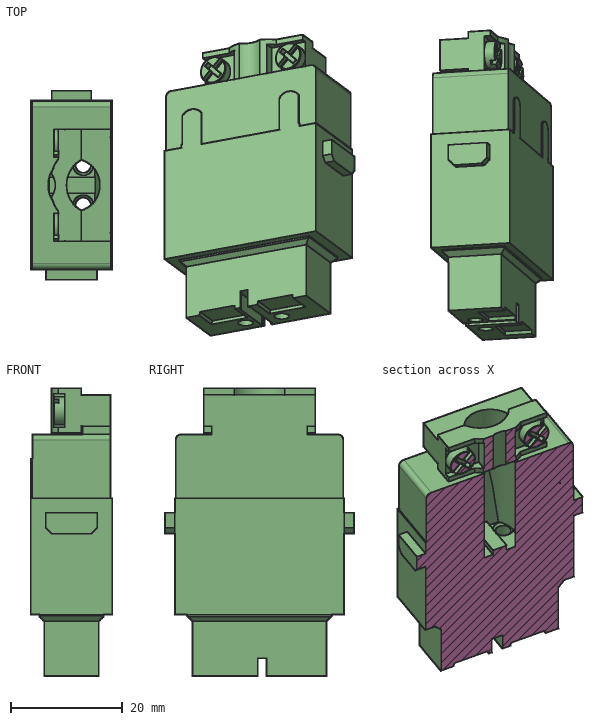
import cadquery as cq

shell_x, shell_y = 14.6, 30.3
shell_bottom, shell_top = 11.0, 31.85
cap_x, cap_y = 14.0, 30.0
cap_top = 43.25
cap_edge_radius = 1.0

plug_x, plug_y = 9.8, 24.0
collar_flare_x, collar_flare_y = 0.85, 1.0
collar_height = 1.2

key_slot_y, key_slot_width, key_slot_height = 0.48, 1.5, 3.2
plug_wall, key_slot_widening = 0.45, 0.3
recess_y, recess_width, recess_height = 5.8, 6.8, 0.65
recess_slope = 0.2

tongue_y, tongue_width = 9.72, 3.8
tongue_top, tongue_rise = 38.9, 1.0
tongue_foot_width, tongue_foot_height = 0.17, 0.6

latch_span = 33.85
latch_bottom, latch_top = 25.5, 29.25
latch_chamfer = 1.0
front_latch_width, rear_latch_width = 9.15, 7.15

entry_x, entry_radius, entry_depth = 0.8, 5.0, 20.0
entry_floor_x, entry_floor_width, entry_draft = 0.15, 8.0, 1.7
floor_rib_width, floor_rib_height = 2.8, 1.0
wire_hole_x, wire_hole_y = 2.1, 3.6
wire_hole_radius, wire_sink_radius = 1.37, 1.83

clamp_top, jaw_height = 51.5, 8.0
clamp_mid = clamp_top - jaw_height / 2
clamp_y = 20.0
jaw_x, split_x, block_x = -2.35, 1.75, cap_x / 2
block_height = 5.6
foot_x, foot_y = 1.96, 17.1
bulge_x, bulge_base_y, bulge_tip_y = -3.6, 4.7, 2.06
bulge_bow = 0.12
groove_x = -2.9
cable_half_width = 4.5
cable_jaw_x, cable_block_x = -0.9, 5.1

pocket_floor_x, pocket_inner_y, pocket_height = -1.23, 3.25, 6.0
screw_y, screw_radius, screw_face_x = 7.5, 2.5, -3.2
screw_edge = 0.12
cross_width, cross_depth, cross_turn = 0.85, 0.95, 45
short_arm_length, short_arm_taper = 3.7, 0.3

OVERLAP = 0.5
SIDES = (-1, 1)


def span(x0, x1, y0, y1, z0, z1):
    """A box given by its limits along X, Y and Z."""
    return cq.Workplane("XY").box(x1 - x0, y1 - y0, z1 - z0, centered=False).translate((x0, y0, z0))


def centred(x_size, y_size, z0, z1):
    """A box centred on the Z axis."""
    return span(-x_size / 2, x_size / 2, -y_size / 2, y_size / 2, z0, z1)


def make_collar():
    """Collar under the shell: flares from the plug at 45 degrees until it meets its straight rim."""
    bottom = shell_bottom - collar_height
    rim = centred(plug_x + 2 * collar_flare_x, plug_y + 2 * collar_flare_y, bottom, shell_bottom)
    flare = (
        cq.Workplane("XY", origin=(0, 0, bottom))
        .rect(plug_x, plug_y)
        .workplane(offset=collar_height)
        .rect(plug_x + 2 * collar_height, plug_y + 2 * collar_height)
        .loft()
    )
    return rim.intersect(flare)


def make_housing():
    """Shell, cap, plug and collar as one body."""
    shell = centred(shell_x, shell_y, shell_bottom, shell_top)
    cap = centred(cap_x, cap_y, shell_top - OVERLAP, cap_top)
    cap = cap.faces(">Z").edges("|X").fillet(cap_edge_radius)
    plug = centred(plug_x, plug_y, 0, shell_bottom + OVERLAP)
    return shell.union(cap).union(plug).union(make_collar())


def make_tongue(side):
    """Round-topped tongue, flush with the shell, with a small step at its outer foot."""
    inner = tongue_y - tongue_width / 2
    outer = tongue_y + tongue_width / 2
    shoulder = tongue_top - tongue_rise
    foot_top = shell_top + tongue_foot_height
    thickness = (shell_x - cap_x) / 2 + OVERLAP
    return (
        cq.Workplane("YZ", origin=(-shell_x / 2, 0, 0))
        .moveTo(side * inner, shell_top - OVERLAP)
        .lineTo(side * inner, shoulder)
        .threePointArc((side * tongue_y, tongue_top), (side * outer, shoulder))
        .lineTo(side * outer, foot_top)
        .lineTo(side * (outer + tongue_foot_width), foot_top)
        .lineTo(side * (outer + tongue_foot_width), shell_top - OVERLAP)
        .close()
        .extrude(thickness)
    )


def make_latch(side, width):
    """Latch key on one Y end, with its lower corners chamfered."""
    length = (latch_span - shell_y) / 2 + OVERLAP
    middle_y = side * (latch_span - length) / 2
    latch = span(-width / 2, width / 2, -length / 2, length / 2, latch_bottom, latch_top)
    return latch.translate((0, middle_y, 0)).faces("<Z").edges("|Y").chamfer(latch_chamfer)


def make_key_slot():
    """Slot right through the plug along X, wider between the two plug walls."""
    core_x = plug_x - 2 * plug_wall
    core_width = key_slot_width + 2 * key_slot_widening
    slot = centred(plug_x, key_slot_width, 0, key_slot_height)
    core = centred(core_x, core_width, 0, key_slot_height)
    return slot.union(core).translate((0, key_slot_y, 0))


def make_contact_recess(side):
    """Shallow recess in the plug end, open to the -X face and reaching the middle of the plug."""
    half = recess_width / 2
    return (
        cq.Workplane("YZ", origin=(-plug_x / 2, side * recess_y, 0))
        .polyline([
            (-half - recess_slope, 0),
            (half + recess_slope, 0),
            (half, recess_height),
            (-half, recess_height),
        ])
        .close()
        .extrude(plug_x / 2)
    )


def make_cable_entry():
    """Round entry whose X sides taper to a narrower floor, with a rib left across the floor."""
    floor_z = cap_top - entry_depth
    half_floor = entry_floor_width / 2
    half_mouth = half_floor + entry_draft
    taper = (
        cq.Workplane("XZ", origin=(entry_floor_x, 0, 0))
        .polyline([
            (-half_floor, floor_z),
            (half_floor, floor_z),
            (half_mouth, cap_top),
            (-half_mouth, cap_top),
        ])
        .close()
        .extrude(entry_radius, both=True)
    )
    bore = cq.Workplane("XY", origin=(entry_x, 0, floor_z)).circle(entry_radius).extrude(entry_depth)
    rib = centred(cap_x, floor_rib_width, floor_z, floor_z + floor_rib_height)
    return bore.intersect(taper).cut(rib)


def make_wire_hole(side):
    """Hole from the floor of the cable entry out through the plug end, countersunk at the floor."""
    floor_z = cap_top - entry_depth
    sink_depth = wire_sink_radius - wire_hole_radius
    return (
        cq.Workplane("XZ", origin=(wire_hole_x, side * wire_hole_y, 0))
        .polyline([
            (0, 0),
            (wire_hole_radius, 0),
            (wire_hole_radius, floor_z - sink_depth),
            (wire_sink_radius, floor_z),
            (0, floor_z),
        ])
        .close()
        .revolve(360, (0, 0, 0), (0, 1, 0))
    )


def make_jaw():
    """Front half of the clamp: a plate with a grooved bulge around the cable."""
    half_y = clamp_y / 2
    flank_x = (jaw_x + bulge_x) / 2 - bulge_bow
    flank_y = (bulge_base_y + bulge_tip_y) / 2 + bulge_bow
    return (
        cq.Workplane("XY", origin=(0, 0, clamp_top - jaw_height))
        .moveTo(split_x, -half_y)
        .lineTo(jaw_x, -half_y)
        .lineTo(jaw_x, -bulge_base_y)
        .threePointArc((flank_x, -flank_y), (bulge_x, -bulge_tip_y))
        .threePointArc((groove_x, 0), (bulge_x, bulge_tip_y))
        .threePointArc((flank_x, flank_y), (jaw_x, bulge_base_y))
        .lineTo(jaw_x, half_y)
        .lineTo(split_x, half_y)
        .close()
        .extrude(jaw_height)
    )


def make_block():
    """Fixed half of the clamp, with the foot that joins it to the cap around the cable entry."""
    bottom = clamp_mid - block_height / 2
    block = span(split_x - OVERLAP, block_x, -clamp_y / 2, clamp_y / 2, bottom, bottom + block_height)
    foot = span(foot_x, block_x, -foot_y / 2, foot_y / 2, cap_top, bottom)
    entry = cq.Workplane("XY", origin=(entry_x, 0, cap_top)).circle(entry_radius).extrude(bottom - cap_top)
    return block.union(foot.cut(entry))


def make_cable_hole():
    """Pointed oval opening: a shallow arc in the jaw meets another in the block."""
    return (
        cq.Workplane("XY", origin=(0, 0, cap_top))
        .moveTo(split_x, -cable_half_width)
        .threePointArc((cable_jaw_x, 0), (split_x, cable_half_width))
        .threePointArc((cable_block_x, 0), (split_x, -cable_half_width))
        .close()
        .extrude(clamp_top - cap_top)
    )


def make_screw_pocket(side):
    y0, y1 = sorted((side * pocket_inner_y, side * clamp_y / 2))
    half_height = pocket_height / 2
    return span(bulge_x, pocket_floor_x, y0, y1, clamp_mid - half_height, clamp_mid + half_height)


def make_cross_arm(length, taper):
    """One arm of the cross recess, lying along Y, each end sloping in by the taper at the floor."""
    half = length / 2
    return (
        cq.Workplane("XY", origin=(screw_face_x, 0, 0))
        .polyline([
            (0, -half),
            (0, half),
            (cross_depth, half - taper),
            (cross_depth, taper - half),
        ])
        .close()
        .extrude(cross_width / 2, both=True)
    )


def make_screw(side):
    """Screw head facing -X, its cross recess turned 45 degrees with one arm running edge to edge."""
    head = (
        cq.Workplane("YZ", origin=(screw_face_x, 0, 0))
        .circle(screw_radius)
        .extrude(pocket_floor_x - screw_face_x + OVERLAP)
        .faces("<X")
        .chamfer(screw_edge)
    )
    long_arm = make_cross_arm(2 * screw_radius, 0)
    short_arm = make_cross_arm(short_arm_length, short_arm_taper)
    head = head.cut(long_arm.rotate((0, 0, 0), (1, 0, 0), -cross_turn))
    head = head.cut(short_arm.rotate((0, 0, 0), (1, 0, 0), cross_turn))
    return head.translate((0, side * screw_y, clamp_mid))


def make_clamp():
    clamp = make_jaw().union(make_block()).cut(make_cable_hole())
    for side in SIDES:
        clamp = clamp.cut(make_screw_pocket(side)).union(make_screw(side))
    return clamp


part = make_housing()
part = part.union(make_latch(-1, front_latch_width)).union(make_latch(1, rear_latch_width))
part = part.cut(make_cable_entry()).cut(make_key_slot())
for side in SIDES:
    part = part.union(make_tongue(side))
    part = part.cut(make_contact_recess(side)).cut(make_wire_hole(side))
result = part.union(make_clamp())